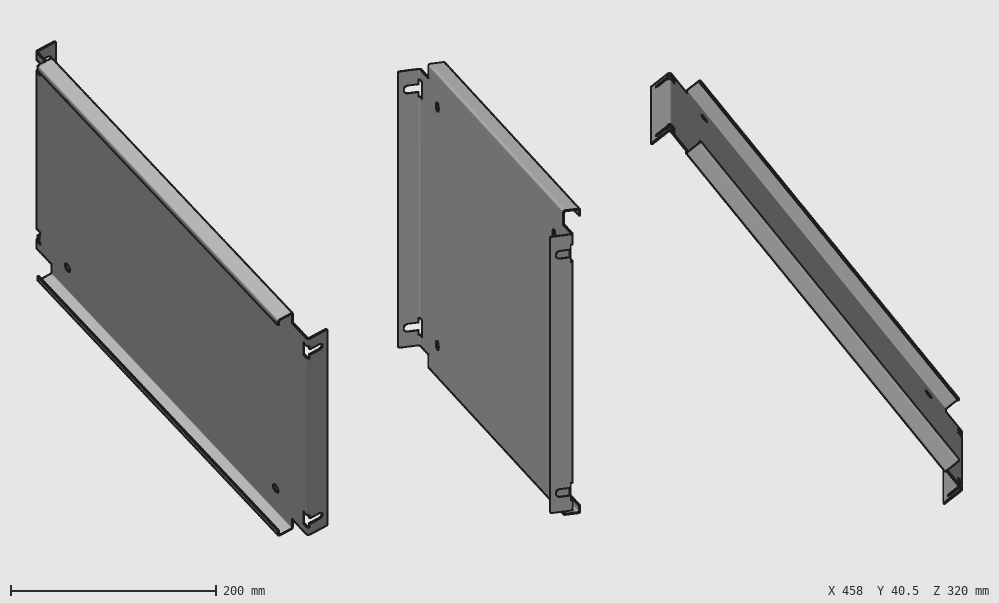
import cadquery as cq

WIDTH = 458.0
HEIGHT = 320.0
DEPTH = 40.5

SHEET = 1.5
BEND_RADIUS = 2.5
INNER_RADIUS = BEND_RADIUS - SHEET

SIDE_DEPTH = 24.0
SIDE_HEIGHT = 290.0
SIDE_CORNER_RADIUS = 2.0
HEM_LENGTH = 404.5
HEM_DEPTH = DEPTH - SIDE_DEPTH
LIP_HEIGHT = 8.0

HOLE_DIAMETER = 9.0
HOLE_SPACING_X = 350.0
HOLE_SPACING_Z = 250.0

WINDOW_WIDTH = 8.0
WINDOW_HEIGHT = 18.0
SLOT_WIDTH = 8.2
SLOT_REACH = 18.0

HALF_WIDTH = WIDTH / 2
FRONT_EDGE = -HEM_DEPTH


def box(x_min, x_max, y_min, y_max, z_min, z_max):
    size = (x_max - x_min, y_max - y_min, z_max - z_min)
    return cq.Workplane("XY").box(*size, centered=False).translate((x_min, y_min, z_min))


def side_channel():
    """Plate with both side flanges, as one bent U-channel."""
    half_height = SIDE_HEIGHT / 2
    outer = box(-HALF_WIDTH, HALF_WIDTH, 0, SIDE_DEPTH, -half_height, half_height)
    outer = outer.edges("|Z and <Y").fillet(BEND_RADIUS)
    outer = outer.edges("|X and >Y").fillet(SIDE_CORNER_RADIUS)
    inside = HALF_WIDTH - SHEET
    inner = box(-inside, inside, SHEET, SIDE_DEPTH, -half_height, half_height)
    inner = inner.edges("|Z and <Y").fillet(INNER_RADIUS)
    return outer.cut(inner)


def hem_channel():
    """Full-height plate with both hem flanges and their inward lips, as one bent C-channel."""
    half_length = HEM_LENGTH / 2
    half_height = HEIGHT / 2
    outer = box(-half_length, half_length, FRONT_EDGE, SHEET, -half_height, half_height)
    outer = outer.edges("|X").fillet(BEND_RADIUS)
    inside = half_height - SHEET
    inner = box(-half_length, half_length, FRONT_EDGE + SHEET, 0, -inside, inside)
    inner = inner.edges("|X").fillet(INNER_RADIUS)
    lip_edge = half_height - LIP_HEIGHT
    mouth = box(-half_length, half_length, FRONT_EDGE, FRONT_EDGE + SHEET, -lip_edge, lip_edge)
    return outer.cut(inner).cut(mouth)


def mounting_holes():
    return (
        cq.Workplane("XZ", origin=(0, SHEET, 0))
        .rarray(HOLE_SPACING_X, HOLE_SPACING_Z, 2, 2)
        .circle(HOLE_DIAMETER / 2)
        .extrude(SHEET)
    )


def windows(z):
    """Clear the plate beside both side flanges, and the bend in front of them."""
    window = box(-HALF_WIDTH, -HALF_WIDTH + WINDOW_WIDTH, 0, BEND_RADIUS,
                 z - WINDOW_HEIGHT / 2, z + WINDOW_HEIGHT / 2)
    return window.union(window.mirror("YZ"))


def slots(z):
    """Round-ended slots through both side flanges, open toward the windows."""
    end_radius = SLOT_WIDTH / 2
    end_centre = SLOT_REACH - end_radius
    return (
        cq.Workplane("YZ", origin=(-HALF_WIDTH, 0, z))
        .moveTo(SHEET, -end_radius)
        .lineTo(end_centre, -end_radius)
        .threePointArc((SLOT_REACH, 0), (end_centre, end_radius))
        .lineTo(SHEET, end_radius)
        .close()
        .extrude(WIDTH)
    )


result = side_channel().union(hem_channel()).cut(mounting_holes())
for level in (-HOLE_SPACING_Z / 2, HOLE_SPACING_Z / 2):
    result = result.cut(windows(level)).cut(slots(level))